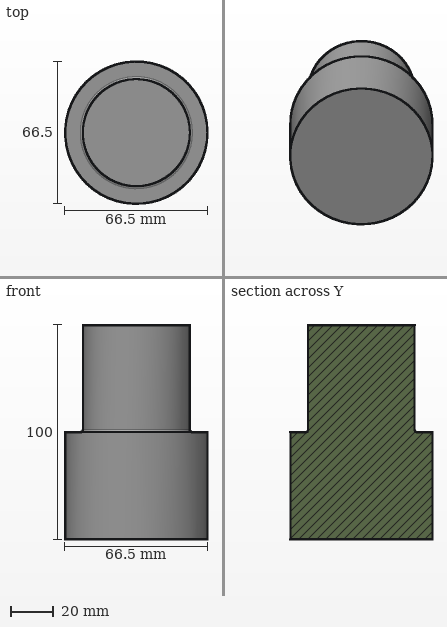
import cadquery as cq

total_height = 100.0
base_diameter = 66.5
base_height = total_height / 2
shank_diameter = 50.0
shoulder_fillet_radius = 1.2

base = cq.Workplane("XY").circle(base_diameter / 2).extrude(base_height)

stepped_body = base.union(cq.Workplane("XY").circle(shank_diameter / 2).extrude(total_height))

shank_root = cq.selectors.BoxSelector(
    (-shank_diameter, -shank_diameter, base_height - shoulder_fillet_radius),
    (shank_diameter, shank_diameter, base_height + shoulder_fillet_radius),
)
result = stepped_body.edges(shank_root).edges(cq.selectors.RadiusNthSelector(0)).fillet(
    shoulder_fillet_radius
)